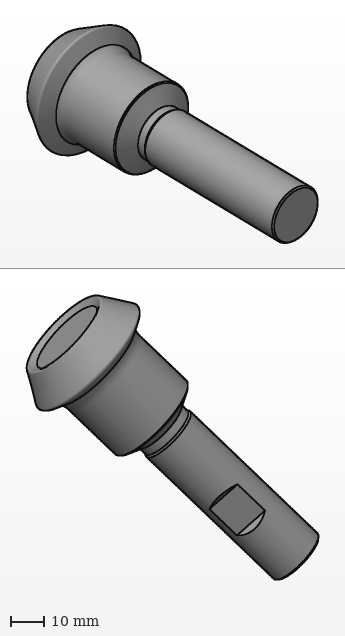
import cadquery as cq
import math

cutter_side = 12.7
cutter_corner_radius = 0.8
cutter_tilt = 30.0
cutter_outer_radius = 21.53

overall_length = 101.3
face_depth = 1.4
face_radius = 13.2
body_radius = 15.45
body_start = 17.4
body_end = 38.3
body_edge_chamfer = 0.4
flare_radius = 6.8
flare_length = 4.1
neck_radius = 9.1
neck_start = 41.7
shank_start = 44.7
shank_radius = 9.5
shank_chamfer_length = 0.7
shank_end_chamfer = 0.5

flat_start = 69.4
flat_end = 81.4
flat_depth = 2.0
flat_ramp_length = 1.5


def revolve_about_x(profile):
    return profile.revolve(360, (0, 0, 0), (1, 0, 0))


def make_cutting_ring():
    """Ring whose front corner touches X = 0 and whose rim reaches the outer radius."""
    tilt = math.radians(cutter_tilt)
    corner_centre_offset = cutter_side / 2 - cutter_corner_radius
    reach = corner_centre_offset * (math.cos(tilt) + math.sin(tilt)) + cutter_corner_radius
    section = (
        cq.Sketch()
        .rect(cutter_side, cutter_side)
        .vertices()
        .fillet(cutter_corner_radius)
    )
    section = section.moved(
        cq.Location(cq.Vector(reach, cutter_outer_radius - reach, 0), cq.Vector(0, 0, 1), cutter_tilt)
    )
    return revolve_about_x(cq.Workplane("XY").placeSketch(section))


def flare_point(distance):
    """Point on the concave flare, a distance ahead of its tangent end on the body."""
    rise = flare_radius - math.sqrt(flare_radius**2 - distance**2)
    return (body_start - distance, body_radius + rise)


def make_holder_blank():
    """Turned holder; its front part runs into the cutting ring."""
    cone_slope = math.tan(math.radians(90 - cutter_tilt))
    cone_start_radius = neck_radius + (neck_start - body_end) * cone_slope
    profile = (
        cq.Workplane("XY")
        .moveTo(face_depth, 0)
        .lineTo(face_depth, face_radius)
        .lineTo(*flare_point(flare_length))
        .threePointArc(flare_point(flare_length / 2), (body_start, body_radius))
        .lineTo(body_end - body_edge_chamfer, body_radius)
        .lineTo(body_end, cone_start_radius)
        .lineTo(neck_start, neck_radius)
        .lineTo(shank_start, neck_radius)
        .lineTo(shank_start + shank_chamfer_length, shank_radius)
        .lineTo(overall_length - shank_end_chamfer, shank_radius)
        .lineTo(overall_length, shank_radius - shank_end_chamfer)
        .lineTo(overall_length, 0)
        .close()
    )
    return revolve_about_x(profile)


def make_clamping_flat_cut():
    """Trapezoidal notch with sloped ends, cut across the full shank width."""
    return (
        cq.Workplane("XZ")
        .polyline([
            (flat_start, flat_depth - shank_radius),
            (flat_end, flat_depth - shank_radius),
            (flat_end + flat_ramp_length, -shank_radius),
            (flat_start - flat_ramp_length, -shank_radius),
        ])
        .close()
        .extrude(shank_radius, both=True)
    )


cutting_ring = make_cutting_ring()
holder = make_holder_blank().cut(cutting_ring).cut(make_clamping_flat_cut())

result = cq.Compound.makeCompound([cutting_ring.val(), *holder.solids().vals()])